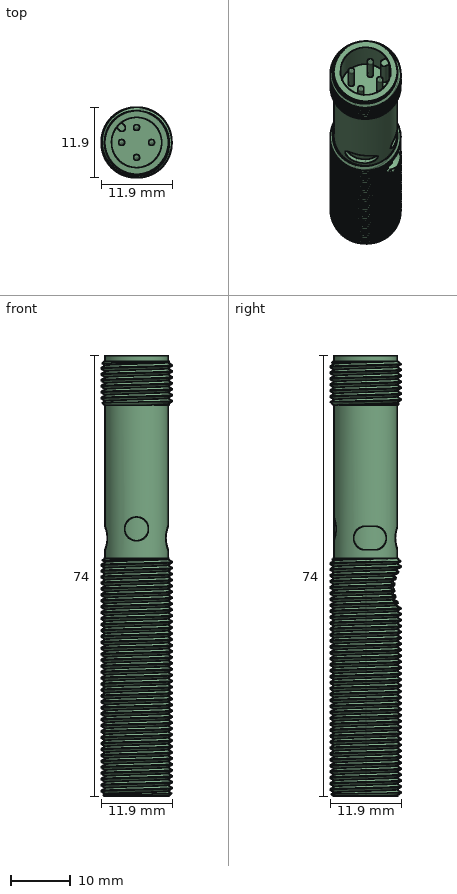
import cadquery as cq
import math

total_length = 74.0
neck_diameter = 10.65
thread_diameter = 11.9
neck_radius = neck_diameter / 2
crest_radius = thread_diameter / 2

lower_thread_length = 39.95
lower_thread_turns = 40
thread_pitch = lower_thread_length / lower_thread_turns
upper_thread_bottom = 65.7
upper_thread_top = 73.1
lower_ridge_start = 0.4
upper_ridge_start = 66.4

crest_width = thread_pitch / 8
root_width = 0.97 * thread_pitch
root_overlap = 0.015
end_chamfer = crest_radius - neck_radius
envelope_clearance = 0.1

socket_radius = 4.2
socket_depth = 8.9
socket_floor = total_length - socket_depth
core_radius = 4.65

pin_count = 4
pin_circle_radius = 2.5
pin_radius = 0.5
pin_tip_rounding = 0.4
pin_top = total_length - 1.8
key_radius = 0.6
key_angle = 135.0
key_nose_radius = 3.5
key_top = total_length - 0.4

window_width = 4.0
window_length = 5.5
window_height = 43.4
window_offset = 0.75
lens_diameter = window_width
lens_height = 44.9
rear_hole_diameter = 3.55
rear_port_diameter = 6.95
rear_port_height = 35.0


def cylinder(radius, bottom, top):
    """Cylinder on the part's axis between two heights."""
    return cq.Workplane("XY", origin=(0, 0, bottom)).circle(radius).extrude(top - bottom)


def radial_cylinder(diameter, height, y_direction):
    """Cylinder from the part's axis outwards along -Y or +Y."""
    return (
        cq.Workplane("XZ", origin=(0, 0, height))
        .circle(diameter / 2)
        .extrude(-y_direction * thread_diameter)
    )


def thread_ridge(bottom, top, ridge_start):
    """Right-handed helical ridge, cut off between two heights and chamfered at both ends."""
    turns_below = math.ceil((ridge_start - bottom) / thread_pitch) + 1
    start = ridge_start - turns_below * thread_pitch
    turn_count = math.ceil((top - start) / thread_pitch) + 1

    flank_slope = (root_width - crest_width) / (crest_radius - neck_radius)
    buried_radius = neck_radius - root_overlap
    buried_width = root_width + flank_slope * root_overlap
    profile = (
        cq.Workplane("XZ")
        .polyline([
            (buried_radius, start - buried_width / 2),
            (crest_radius, start - crest_width / 2),
            (crest_radius, start + crest_width / 2),
            (buried_radius, start + buried_width / 2),
        ])
        .close()
    )
    turns = [
        cq.Wire.makeHelix(
            thread_pitch, thread_pitch, neck_radius, cq.Vector(0, 0, start + index * thread_pitch)
        )
        for index in range(turn_count)
    ]
    helix = cq.Wire.combine(turns)[0]
    ridge = profile.sweep(cq.Workplane(obj=helix), isFrenet=True)

    envelope = (
        cylinder(crest_radius + envelope_clearance, bottom, top)
        .faces("<Z or >Z")
        .chamfer(end_chamfer)
    )
    return ridge.intersect(envelope)


def side_windows():
    """Round-ended slot straight through along X, opening both sides."""
    return (
        cq.Workplane("YZ", origin=(0, window_offset, window_height))
        .slot2D(window_length, window_width)
        .extrude(thread_diameter, both=True)
    )


def coding_key():
    """Round-nosed rib on the socket wall."""
    key_length = 4 * key_radius
    center_radius = key_nose_radius + key_radius
    angle = math.radians(key_angle)
    return (
        cq.Workplane("XY", origin=(0, 0, socket_floor))
        .center(center_radius * math.cos(angle), center_radius * math.sin(angle))
        .slot2D(key_length, 2 * key_radius, key_angle)
        .extrude(key_top - socket_floor)
    )


def make_housing():
    body = (
        cylinder(neck_radius, 0, total_length)
        .union(thread_ridge(0, lower_thread_length, lower_ridge_start))
        .union(thread_ridge(upper_thread_bottom, upper_thread_top, upper_ridge_start))
    )
    openings = (
        cylinder(core_radius, 0, socket_floor)
        .union(cylinder(socket_radius, 0, total_length))
        .union(side_windows())
        .union(radial_cylinder(lens_diameter, lens_height, -1))
        .union(radial_cylinder(rear_hole_diameter, window_height, 1))
        .union(radial_cylinder(rear_port_diameter, rear_port_height, 1))
    )
    return body.cut(openings).union(coding_key())


def status_lens():
    """Round lens that fills its hole flush with the neck."""
    return radial_cylinder(lens_diameter, lens_height, -1).intersect(
        cylinder(neck_radius, 0, total_length)
    )


def contact_pins():
    return (
        cq.Workplane("XY", origin=(0, 0, socket_floor))
        .polarArray(pin_circle_radius, 0, 360, pin_count)
        .circle(pin_radius)
        .extrude(pin_top - socket_floor)
        .faces(">Z")
        .edges()
        .fillet(pin_tip_rounding)
    )


def make_core():
    return cylinder(core_radius, 0, socket_floor).union(status_lens()).union(contact_pins())


housing = make_housing()
core = make_core()
result = cq.Compound.makeCompound([housing.solids().val(), core.solids().val()])